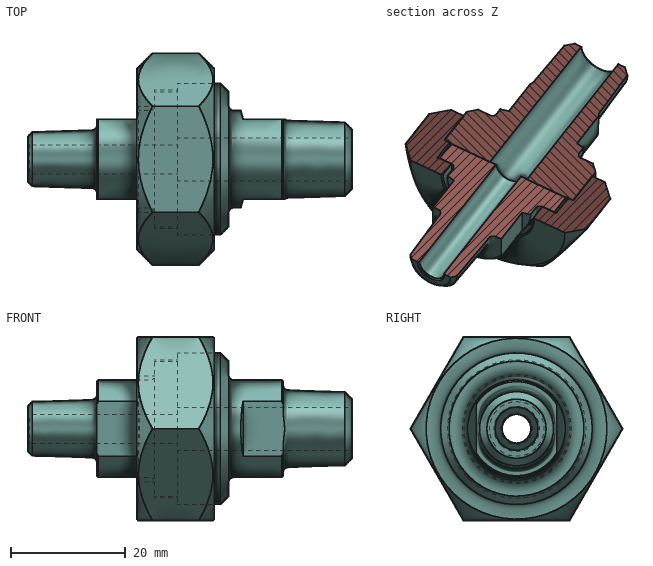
import cadquery as cq
import math


tail_shoulder_x = 12.0
nut_start_x = 19.0
nut_length = 13.5
nut_wall = 3.0
flange_thickness = 4.0
body_shoulder_x = 35.0
spigot_shoulder_x = 44.5
total_length = 56.5
nut_end_x = nut_start_x + nut_length
flange_start_x = nut_start_x + nut_wall
joint_x = flange_start_x + flange_thickness

barrel_diameter = 17.0
barrel_chamfer = 0.3
root_fillet = 0.8
pipe_taper = 1 / 16
wrench_width = 14.0
wrench_flat_length = 7.0
wrench_runout_angle = 15.0

tail_tip_diameter = 9.5
tail_tip_chamfer = 0.8
tail_bore_diameter = 5.0
tail_bore_chamfer = 0.25
flange_diameter = 23.5

spigot_tip_diameter = 12.9
spigot_tip_chamfer = 1.3
body_bore_diameter = 7.5
thread_diameter = 26.4
collar_end_diameter = 23.5

nut_across_flats = 32.0
nut_face_diameter = 31.5
nut_hole_diameter = 18.5
nut_hole_chamfer = 0.25
nut_pocket_diameter = 24.12

barrel_radius = barrel_diameter / 2
flange_fillet = (nut_hole_diameter - barrel_diameter) / 2


def revolve_about_x(profile):
    return profile.close().revolve(360, (0, 0, 0), (1, 0, 0))


def disc(start_x, end_x, diameter):
    return cq.Workplane("YZ", origin=(start_x, 0, 0)).circle(diameter / 2).extrude(end_x - start_x)


def cone_frustum(start_x, start_diameter, length, end_diameter):
    profile = (
        cq.Workplane("XY")
        .moveTo(start_x, 0)
        .lineTo(start_x, start_diameter / 2)
        .lineTo(start_x + length, end_diameter / 2)
        .lineTo(start_x + length, 0)
    )
    return revolve_about_x(profile)


def wrench_flat_cutters(shoulder_x, inward):
    """Two wedges that cut flats from a barrel shoulder; inward is the X sense into the barrel.

    They start past the shoulder so that they also trim the root fillet beside it.
    """
    overcut = 1.0
    outer_y = barrel_radius + overcut
    flat_y = wrench_width / 2
    runout = (outer_y - flat_y) * math.tan(math.radians(wrench_runout_angle))
    wedge_start_x = shoulder_x - inward * root_fillet
    flat_end_x = shoulder_x + inward * wrench_flat_length
    wedge = (
        cq.Workplane("XY")
        .moveTo(wedge_start_x, flat_y)
        .lineTo(flat_end_x, flat_y)
        .lineTo(flat_end_x + inward * runout, outer_y)
        .lineTo(wedge_start_x, outer_y)
        .close()
        .extrude(barrel_radius, both=True)
    )
    return wedge.union(wedge.mirror("XZ"))


def make_tail_piece():
    tip_radius = tail_tip_diameter / 2
    taper_end_x = tail_shoulder_x - root_fillet
    taper_end_radius = tip_radius + (taper_end_x - tail_tip_chamfer) * pipe_taper / 2
    profile = (
        cq.Workplane("XY")
        .lineTo(0, tip_radius - tail_tip_chamfer)
        .lineTo(tail_tip_chamfer, tip_radius)
        .lineTo(taper_end_x, taper_end_radius)
        .radiusArc((tail_shoulder_x, taper_end_radius + root_fillet), -root_fillet)
        .lineTo(tail_shoulder_x, barrel_radius - barrel_chamfer)
        .lineTo(tail_shoulder_x + barrel_chamfer, barrel_radius)
        .lineTo(flange_start_x - flange_fillet, barrel_radius)
        .radiusArc((flange_start_x, barrel_radius + flange_fillet), -flange_fillet)
        .lineTo(flange_start_x, flange_diameter / 2)
        .lineTo(joint_x, flange_diameter / 2)
        .lineTo(joint_x, 0)
    )
    bore_mouth = cone_frustum(
        0, tail_bore_diameter + 2 * tail_bore_chamfer, tail_bore_chamfer, tail_bore_diameter
    )
    return (
        revolve_about_x(profile)
        .cut(wrench_flat_cutters(tail_shoulder_x, 1))
        .cut(disc(0, joint_x, tail_bore_diameter))
        .cut(bore_mouth)
    )


def make_threaded_body():
    tip_radius = spigot_tip_diameter / 2
    thread_radius = thread_diameter / 2
    collar_end_radius = collar_end_diameter / 2
    collar_chamfer = thread_radius - collar_end_radius
    taper_start_x = spigot_shoulder_x + root_fillet
    taper_end_x = total_length - spigot_tip_chamfer
    taper_start_radius = tip_radius + (taper_end_x - taper_start_x) * pipe_taper / 2
    profile = (
        cq.Workplane("XY")
        .moveTo(joint_x, 0)
        .lineTo(joint_x, thread_radius)
        .lineTo(body_shoulder_x - collar_chamfer, thread_radius)
        .lineTo(body_shoulder_x, collar_end_radius)
        .lineTo(body_shoulder_x, barrel_radius + root_fillet)
        .radiusArc((body_shoulder_x + root_fillet, barrel_radius), -root_fillet)
        .lineTo(spigot_shoulder_x - barrel_chamfer, barrel_radius)
        .lineTo(spigot_shoulder_x, barrel_radius - barrel_chamfer)
        .lineTo(spigot_shoulder_x, taper_start_radius + root_fillet)
        .radiusArc((taper_start_x, taper_start_radius), -root_fillet)
        .lineTo(taper_end_x, tip_radius)
        .lineTo(total_length, tip_radius - spigot_tip_chamfer)
        .lineTo(total_length, 0)
    )
    return (
        revolve_about_x(profile)
        .cut(wrench_flat_cutters(spigot_shoulder_x, -1))
        .cut(disc(joint_x, total_length, body_bore_diameter))
    )


def make_nut():
    across_corners = nut_across_flats / math.cos(math.pi / 6)
    corner_radius = across_corners / 2
    face_radius = nut_face_diameter / 2
    corner_chamfer = corner_radius - face_radius
    hexagon = cq.Workplane("YZ", origin=(nut_start_x, 0, 0)).polygon(6, across_corners).extrude(nut_length)
    envelope = (
        cq.Workplane("XY")
        .moveTo(nut_start_x, 0)
        .lineTo(nut_start_x, face_radius)
        .lineTo(nut_start_x + corner_chamfer, corner_radius)
        .lineTo(nut_end_x - corner_chamfer, corner_radius)
        .lineTo(nut_end_x, face_radius)
        .lineTo(nut_end_x, 0)
    )
    hole_mouth = cone_frustum(
        nut_start_x, nut_hole_diameter + 2 * nut_hole_chamfer, nut_hole_chamfer, nut_hole_diameter
    )
    return (
        hexagon.intersect(revolve_about_x(envelope))
        .cut(disc(nut_start_x, flange_start_x, nut_hole_diameter))
        .cut(hole_mouth)
        .cut(disc(flange_start_x, joint_x, nut_pocket_diameter))
        .cut(disc(joint_x, nut_end_x, thread_diameter))
    )


tail_piece = make_tail_piece()
threaded_body = make_threaded_body()
nut = make_nut()

result = cq.Compound.makeCompound([tail_piece.val(), threaded_body.val(), nut.val()])